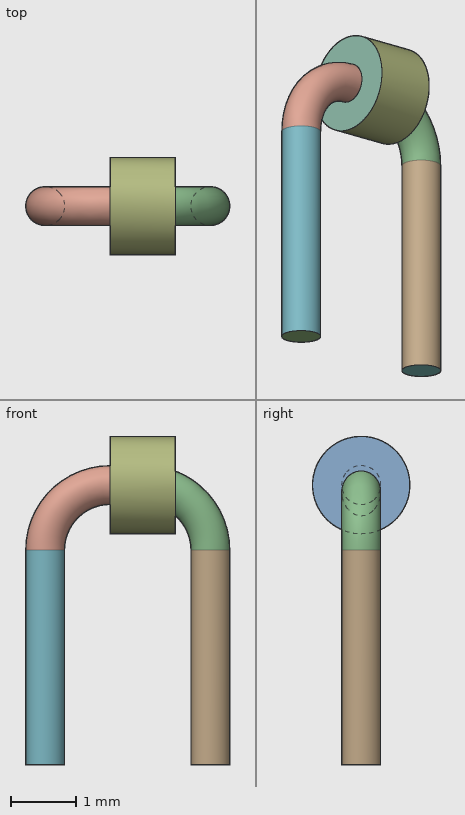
import cadquery as cq

WIRE_DIAMETER = 0.6
LEG_PITCH = 2.54
LEG_LENGTH = 3.3
BEND_RADIUS = 1.0
BEAD_DIAMETER = 1.5
BEAD_LENGTH = 1.0

LEG_X = LEG_PITCH / 2
BRIDGE_HEIGHT = LEG_LENGTH + BEND_RADIUS
BRIDGE_END_X = LEG_X - BEND_RADIUS
BEAD_START_X = -BRIDGE_END_X


def make_wire():
    """Round wire bent into an upside-down U in the XZ plane."""
    path = (
        cq.Workplane("XZ")
        .moveTo(-LEG_X, 0)
        .lineTo(-LEG_X, LEG_LENGTH)
        .tangentArcPoint((-BRIDGE_END_X, BRIDGE_HEIGHT), relative=False)
        .lineTo(BRIDGE_END_X, BRIDGE_HEIGHT)
        .tangentArcPoint((LEG_X, LEG_LENGTH), relative=False)
        .lineTo(LEG_X, 0)
    )
    return cq.Workplane("XY").center(-LEG_X, 0).circle(WIRE_DIAMETER / 2).sweep(path)


def make_bead():
    """Cylindrical bead around the horizontal bridge of the wire."""
    return (
        cq.Workplane("YZ", origin=(BEAD_START_X, 0, BRIDGE_HEIGHT))
        .circle(BEAD_DIAMETER / 2)
        .extrude(BEAD_LENGTH)
    )


result = make_wire().union(make_bead())